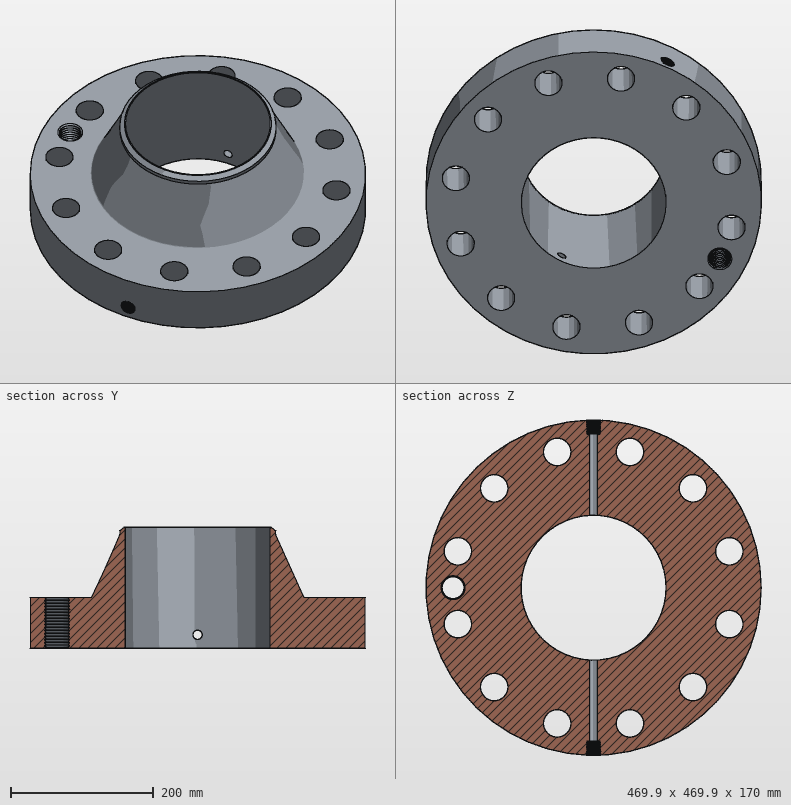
import cadquery as cq
import math

flange_diameter = 469.9
flange_thickness = 71.4
overall_height = 169.98

bore_diameter = 202.7
neck_diameter = 219.1
hub_base_diameter = 298.5
weld_land = 1.6
weld_bevel_angle = 37.5
neck_straight_length = 5.6
hub_root_fillet = 3.0

bolt_circle_diameter = 393.7
bolt_hole_diameter = 38.1
bolt_hole_count = 12

inch = 25.4

jack_major_diameter = 1.375 * inch
jack_pitch = inch / 6
jack_thread_depth = 0.54 * jack_pitch

tap_height = 19.0
tap_drill_diameter = 0.5 * inch
tap_major_diameter = 21.34
tap_pitch = inch / 14
tap_thread_depth = 0.8 * tap_pitch
tap_thread_turns = 11
tap_taper = 1 / 16

bore_radius = bore_diameter / 2
neck_radius = neck_diameter / 2
flange_radius = flange_diameter / 2
bolt_circle_radius = bolt_circle_diameter / 2


def flange_body():
    """Flange ring, conical hub and bevelled weld end, revolved about Z."""
    land_radius = bore_radius + weld_land
    bevel_height = (neck_radius - land_radius) * math.tan(math.radians(weld_bevel_angle))
    bevel_start = overall_height - bevel_height
    hub_top = bevel_start - neck_straight_length
    body = (
        cq.Workplane("XZ")
        .moveTo(bore_radius, 0)
        .lineTo(flange_radius, 0)
        .lineTo(flange_radius, flange_thickness)
        .lineTo(hub_base_diameter / 2, flange_thickness)
        .lineTo(neck_radius, hub_top)
        .lineTo(neck_radius, bevel_start)
        .lineTo(land_radius, overall_height)
        .lineTo(bore_radius, overall_height)
        .close()
        .revolve(360, (0, 0, 0), (0, 1, 0))
    )
    flange_top_face = body.faces(cq.selectors.NearestToPointSelector(
        (0, 0, flange_thickness)
    ))
    hub_root_edge = flange_top_face.edges(cq.selectors.RadiusNthSelector(0))
    return hub_root_edge.fillet(hub_root_fillet)


def bolt_holes():
    """Through holes evenly spaced on the bolt circle."""
    half_step = 180 / bolt_hole_count
    return (
        cq.Workplane("XY")
        .polarArray(bolt_circle_radius, half_step, 360, bolt_hole_count)
        .circle(bolt_hole_diameter / 2)
        .extrude(flange_thickness)
    )


def threaded_cutter(major_diameter, pitch, depth, turns, taper=0.0):
    """Ring-grooved thread cutter with its wide end at z = 0, reaching down along -Z."""
    outline = cq.Workplane("XZ").moveTo(0, 0).lineTo(major_diameter / 2, 0)
    for turn in range(turns):
        crest_distance = (turn + 0.5) * pitch
        root_distance = (turn + 1) * pitch
        crest_radius = (major_diameter - taper * crest_distance) / 2 - depth
        root_radius = (major_diameter - taper * root_distance) / 2
        outline = outline.lineTo(crest_radius, -crest_distance)
        outline = outline.lineTo(root_radius, -root_distance)
    outline = outline.lineTo(0, -turns * pitch)
    return outline.close().revolve(360, (0, 0, 0), (0, 1, 0))


def jack_screw_hole():
    """Threaded through hole on the bolt circle at -X."""
    turns = math.ceil(flange_thickness / jack_pitch)
    cutter = threaded_cutter(jack_major_diameter, jack_pitch, jack_thread_depth, turns)
    return cutter.translate((-bolt_circle_radius, 0, flange_thickness))


def pressure_tap():
    """Radial hole from the rim at -Y into the bore, with a tapered thread at the rim."""
    drill_length = flange_radius
    drill = cq.Workplane("XY").circle(tap_drill_diameter / 2).extrude(-drill_length)
    thread = threaded_cutter(
        tap_major_diameter, tap_pitch, tap_thread_depth, tap_thread_turns, tap_taper
    )
    tap = drill.union(thread).rotate((0, 0, 0), (1, 0, 0), 90)
    return tap.translate((0, -flange_radius, tap_height))


tap = pressure_tap()
opposite_tap = tap.rotate((0, 0, 0), (0, 0, 1), 180)
result = flange_body().cut(bolt_holes()).cut(jack_screw_hole()).cut(tap).cut(opposite_tap)